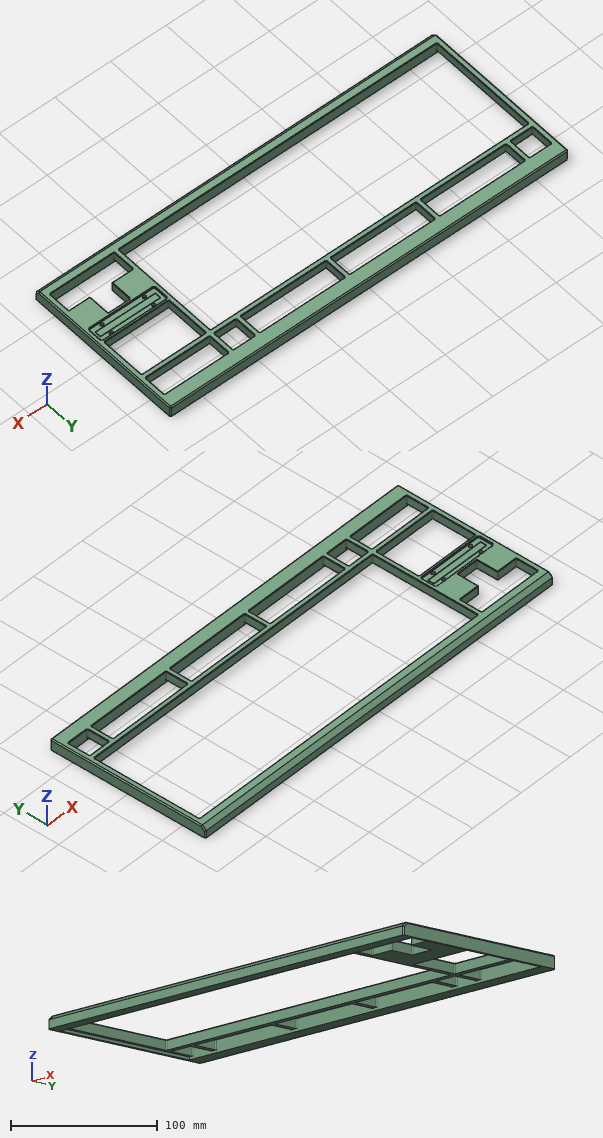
import cadquery as cq

LENGTH = 358.0
DEPTH = 141.5
HEIGHT = 9.5
RIM_CHAMFER = 1.0
BEVEL_DEPTH = 3.5
BEVEL_DROP = 3.2
HOLLOW_DEPTH = 2.0
HOLLOW_LIP = 2.0

KEY = 19.05
GAP = KEY / 4
CLEARANCE = 0.25
WINDOW_CHAMFER = 0.5
FRONT_MARGIN = 10.0
WINDOW_RADIUS = 0.7

MAIN_KEYS = 15
MAIN_ROWS = 5
FUNCTION_GROUPS = 3
FUNCTION_GROUP_KEYS = 4
NAVIGATION_KEYS = 3
NAVIGATION_ROWS = 2

GRID_LENGTH = (MAIN_KEYS + NAVIGATION_KEYS) * KEY + GAP
GRID_LEFT = (LENGTH - GRID_LENGTH) / 2
GRID_FRONT = FRONT_MARGIN
FUNCTION_FRONT = GRID_FRONT + MAIN_ROWS * KEY + GAP
NAVIGATION_LEFT = GRID_LEFT + MAIN_KEYS * KEY + GAP
NAVIGATION_FRONT = GRID_FRONT + (MAIN_ROWS - NAVIGATION_ROWS) * KEY

BADGE_X = NAVIGATION_LEFT + NAVIGATION_KEYS * KEY / 2
BADGE_Y = (GRID_FRONT + 2 * KEY + NAVIGATION_FRONT) / 2
BADGE_LENGTH = 59.0
BADGE_WIDTH = 13.5
BADGE_DEPTH = 1.5
BADGE_RADIUS = 1.5
SLOT_LENGTH = 54.0
SLOT_WIDTH = 5.5
SLOT_DEPTH = 0.5
PIN_HOLE_DIAMETER = 3.0
PIN_HOLE_DEPTH = 2.0
PIN_SPACING_X = 38.5
PIN_SPACING_Y = 9.5


def make_plate():
    """Plate with a wide bevel along the front and small chamfers on its corners and top rim."""
    plate = (
        cq.Workplane("YZ")
        .lineTo(DEPTH, 0)
        .lineTo(DEPTH, HEIGHT)
        .lineTo(BEVEL_DEPTH, HEIGHT)
        .lineTo(0, HEIGHT - BEVEL_DROP)
        .close()
        .extrude(LENGTH)
    )
    corners_and_ends = plate.faces("<X or >X").edges("not <Z")
    back_rim = plate.edges(">Y and >Z")
    return corners_and_ends.add(back_rim).chamfer(RIM_CHAMFER)


def block(left, front, length, width, depth):
    """Box reaching down from the plate's top face."""
    return cq.Workplane("XY", origin=(left, front, HEIGHT - depth)).box(length, width, depth, centered=False)


def key_block(left, front, keys, rows):
    """Through block covering keys x rows keys of the grid."""
    length = keys * KEY + 2 * CLEARANCE
    width = rows * KEY + 2 * CLEARANCE
    return block(left - CLEARANCE, front - CLEARANCE, length, width, HEIGHT)


def underside_hollow():
    """Shallow hollow below all the windows, closed by the front and back bars and an end lip."""
    front = GRID_FRONT - CLEARANCE
    back = FUNCTION_FRONT + KEY + CLEARANCE
    length = LENGTH - 2 * HOLLOW_LIP
    return cq.Workplane("XY", origin=(HOLLOW_LIP, front, 0)).box(length, back - front, HOLLOW_DEPTH, centered=False)


def flared(cutter, radius):
    """Round a cutter's corners and widen it at the plate's top face, for a chamfered rim."""
    rounded = cutter.edges("|Z").fillet(radius)
    flare = (
        rounded.faces(">Z")
        .wires()
        .toPending()
        .workplane(origin=(0, 0, HEIGHT))
        .offset2D(WINDOW_CHAMFER)
        .extrude(-WINDOW_CHAMFER, taper=45)
    )
    return rounded.union(flare)


def arrow_block():
    """Inverted T: a row of three keys with one key above its middle."""
    row = key_block(NAVIGATION_LEFT, GRID_FRONT, NAVIGATION_KEYS, 1)
    up_key = key_block(NAVIGATION_LEFT + KEY, GRID_FRONT, 1, 2)
    return row.union(up_key)


def key_blocks():
    blocks = [
        key_block(GRID_LEFT, GRID_FRONT, MAIN_KEYS, MAIN_ROWS),
        arrow_block(),
        key_block(NAVIGATION_LEFT, NAVIGATION_FRONT, NAVIGATION_KEYS, NAVIGATION_ROWS),
    ]

    left = GRID_LEFT
    for keys in [1] + [FUNCTION_GROUP_KEYS] * FUNCTION_GROUPS + [1, NAVIGATION_KEYS]:
        blocks.append(key_block(left, FUNCTION_FRONT, keys, 1))
        left += keys * KEY + GAP
    return blocks


def badge_recess():
    left = BADGE_X - BADGE_LENGTH / 2
    front = BADGE_Y - BADGE_WIDTH / 2
    recess = flared(block(left, front, BADGE_LENGTH, BADGE_WIDTH, BADGE_DEPTH), BADGE_RADIUS)
    floor = cq.Workplane("XY", origin=(BADGE_X, BADGE_Y, HEIGHT - BADGE_DEPTH))
    slot = floor.rect(SLOT_LENGTH, SLOT_WIDTH).extrude(-SLOT_DEPTH)
    pin_holes = (
        floor.rect(PIN_SPACING_X, PIN_SPACING_Y, forConstruction=True)
        .vertices()
        .circle(PIN_HOLE_DIAMETER / 2)
        .extrude(-PIN_HOLE_DEPTH)
    )
    return recess.union(slot).union(pin_holes)


result = make_plate().cut(underside_hollow())
for window in key_blocks():
    result = result.cut(flared(window, WINDOW_RADIUS))
result = result.cut(badge_recess())